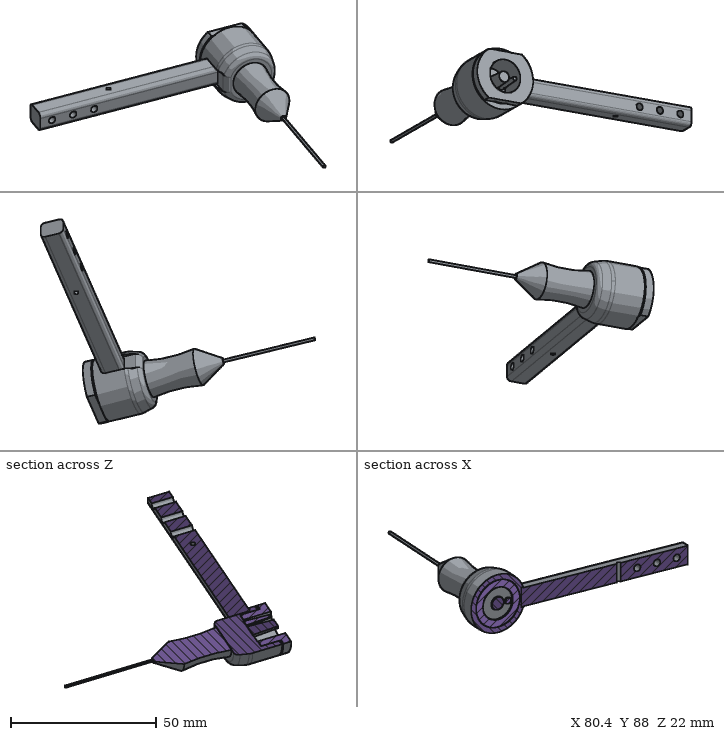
import cadquery as cq
import math

overall_length_y = 88.0
body_radius = 11.0

nut_thickness = 3.0
nut_across_flats = 17.8
neck_radius = 9.0
neck_end = 10.6
bore_radius = 6.0

nut_gap = 0.5
housing_start = nut_thickness + nut_gap
housing_end = 20.6
taper_start = 15.4
taper_angle = 15.0
taper_blend_radius = 5.0
end_round_radius = 2.0

bar_width = 8.1
bar_height = 7.2
bar_corner_radius = 1.6
bar_center_x = 10.5
bar_seat_y = -9.5
bar_end_y = body_radius - overall_length_y
cross_hole_diameter = 2.5
cross_hole_count = 3
cross_hole_pitch = 8.0
cross_hole_end_gap = 4.5
top_hole_diameter = 1.5
top_hole_x = 10.1
top_hole_y = -49.0

grip_end = 38.5
grip_radius = 6.5
grip_waist_radius = 5.7
nose_end = 47.3
nose_tip_radius = 1.1
needle_radius = 0.5
needle_end = 80.4

pin_tip_x = 0.8
center_pin_tip_radius = 1.9
center_pin_base_radius = 2.5
side_pin_tip_radius = 0.7
side_pin_base_radius = 1.2
side_pin_y = -4.2


def x_cylinder(radius, start, end):
    """Round bar on the X axis between two X positions."""
    return cq.Workplane("YZ").workplane(offset=start).circle(radius).extrude(end - start)


def revolve_about_x(profile):
    """Close a half profile along the X axis and turn it into a solid."""
    return profile.close().revolve(360, (0, 0, 0), (1, 0, 0))


def bar_blank(start_y, end_y):
    """Bar stock with rounded long edges, running in -Y from start_y to end_y."""
    length = start_y - end_y
    return (
        cq.Workplane("XY")
        .box(bar_width, length, bar_height)
        .edges("|Y")
        .fillet(bar_corner_radius)
        .translate((bar_center_x, start_y - length / 2, 0))
    )


def make_nut():
    flange = x_cylinder(body_radius, 0, nut_thickness)
    flats = cq.Workplane("XY").box(2 * nut_thickness, 2 * body_radius, nut_across_flats)
    neck = x_cylinder(neck_radius, nut_thickness, neck_end)
    bore = x_cylinder(bore_radius, 0, neck_end)
    return flange.intersect(flats).union(neck).cut(bore)


def shoulder_slot():
    """Flat-floored slot from the bar through the shoulder, its floor rounding off at the end face."""
    floor_end = housing_end - end_round_radius
    arc_center_y = bar_seat_y + end_round_radius
    arc_mid = end_round_radius * math.cos(math.radians(45))
    return (
        cq.Workplane("XY")
        .workplane(offset=-bar_height / 2)
        .moveTo(bar_center_x, -body_radius)
        .lineTo(bar_center_x, bar_seat_y)
        .lineTo(floor_end, bar_seat_y)
        .threePointArc((floor_end + arc_mid, arc_center_y - arc_mid), (housing_end, arc_center_y))
        .lineTo(housing_end, -body_radius)
        .close()
        .extrude(bar_height)
    )


def make_housing():
    end_radius = body_radius - (housing_end - taper_start) * math.tan(math.radians(taper_angle))
    profile = (
        cq.Workplane("XY")
        .moveTo(housing_start, 0)
        .lineTo(housing_start, body_radius)
        .lineTo(taper_start, body_radius)
        .lineTo(housing_end, end_radius)
        .lineTo(housing_end, 0)
    )
    shell = revolve_about_x(profile)
    shell = shell.faces("%CONE").edges(">X").fillet(end_round_radius)
    shell = shell.faces("%CONE").edges("<X").fillet(taper_blend_radius)
    neck_recess = x_cylinder(neck_radius, housing_start, neck_end)
    bar_socket = bar_blank(bar_seat_y, -body_radius)
    return shell.cut(neck_recess).cut(bar_socket).cut(shoulder_slot())


def make_bar():
    bar = bar_blank(bar_seat_y, bar_end_y)
    for index in range(cross_hole_count):
        hole_y = bar_end_y + cross_hole_end_gap + index * cross_hole_pitch
        hole = x_cylinder(cross_hole_diameter / 2, 0, 2 * bar_center_x)
        bar = bar.cut(hole.translate((0, hole_y, 0)))
    top_hole = (
        cq.Workplane("XY")
        .center(top_hole_x, top_hole_y)
        .circle(top_hole_diameter / 2)
        .extrude(bar_height, both=True)
    )
    return bar.cut(top_hole)


def make_grip():
    waist_x = (housing_end + grip_end) / 2
    profile = (
        cq.Workplane("XY")
        .moveTo(housing_end, 0)
        .lineTo(housing_end, grip_radius)
        .threePointArc((waist_x, grip_waist_radius), (grip_end, grip_radius))
        .lineTo(nose_end, nose_tip_radius)
        .lineTo(nose_end, 0)
    )
    return revolve_about_x(profile)


def make_pin(tip_radius, base_radius, y):
    profile = (
        cq.Workplane("XY")
        .moveTo(pin_tip_x, 0)
        .lineTo(pin_tip_x, tip_radius)
        .lineTo(neck_end, base_radius)
        .lineTo(neck_end, 0)
    )
    return revolve_about_x(profile).translate((0, y, 0))


nut = make_nut()
housing = make_housing()
bar = make_bar()
grip = make_grip()
needle = x_cylinder(needle_radius, nose_end, needle_end)
center_pin = make_pin(center_pin_tip_radius, center_pin_base_radius, 0)
side_pin = make_pin(side_pin_tip_radius, side_pin_base_radius, side_pin_y)

result = cq.Compound.makeCompound(
    [
        nut.solids().val(),
        housing.solids().val(),
        bar.solids().val(),
        grip.val(),
        needle.val(),
        center_pin.val(),
        side_pin.val(),
    ]
)